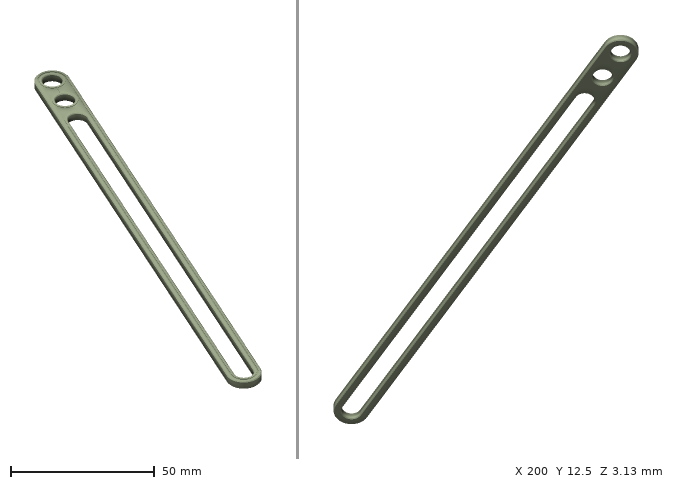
import cadquery as cq

length = 200.0
module_count = 16
pitch = length / module_count
width = pitch
thickness = pitch / 4
edge_chamfer = 0.3

bore_diameter = 7.0
first_bore_x = (pitch - length) / 2
second_bore_x = first_bore_x + pitch
slot_start_x = second_bore_x + pitch
slot_end_x = -first_bore_x

lip_width = 1.1
recess_depth = 0.2
rib_width = 0.12
recess_width = width - 2 * lip_width
rim_diameter = bore_diameter + 2 * lip_width
recess_floor = thickness - recess_depth


def capsule(start_x, end_x, diameter, bottom, top):
    """Round-ended bar lying along X between two end centres."""
    return (
        cq.Workplane("XY", origin=((start_x + end_x) / 2, 0, bottom))
        .slot2D(end_x - start_x + diameter, diameter)
        .extrude(top - bottom)
    )


def cylinder(x, diameter, bottom, top):
    """Upright cylinder on the bar's centre line at x."""
    return cq.Workplane("XY", origin=(x, 0, bottom)).circle(diameter / 2).extrude(top - bottom)


def opening_shapes(diameter, bottom, top):
    """Solids following both bores and the slot, all of one diameter."""
    shapes = capsule(slot_start_x, slot_end_x, diameter, bottom, top)
    for x in (first_bore_x, second_bore_x):
        shapes = shapes.union(cylinder(x, diameter, bottom, top))
    return shapes


def chamfered_plate():
    """Plate with its openings, every edge of the top and bottom faces chamfered."""
    plate = capsule(first_bore_x, slot_end_x, width, 0, thickness)
    plate = plate.cut(opening_shapes(bore_diameter, 0, thickness))
    return plate.faces("<Z or >Z").chamfer(edge_chamfer)


def recess_shape():
    """Recess volume around the rims, split by a thin rib that joins the rims of the two bores."""
    recess = capsule(first_bore_x, slot_end_x, recess_width, recess_floor, thickness)
    rims = opening_shapes(rim_diameter, recess_floor, thickness)
    rib = (
        cq.Workplane("XY", origin=((first_bore_x + second_bore_x) / 2, 0, recess_floor))
        .rect(pitch, rib_width)
        .extrude(recess_depth)
    )
    return recess.cut(rims).cut(rib)


result = chamfered_plate().cut(recess_shape())